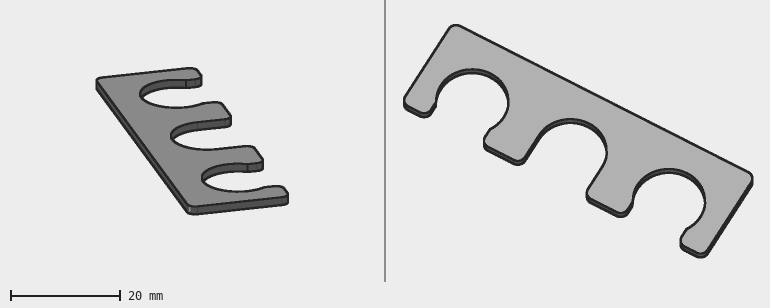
import cadquery as cq

length = 63.5
width = 19.05
thickness = 1.57
corner_radius = 1.5

seat_diameter = 13.2
seat_pitch = 20.64
seat_depth = 13.3
snap_mouth_width = 11.3
open_mouth_width = seat_diameter

back_edge_y = width / 2
seat_radius = seat_diameter / 2
seat_y = back_edge_y - seat_depth + seat_radius


def make_seat(x, mouth_width):
    """Cutter for one seat: a round hole joined to a mouth at the back edge."""
    mouth_length = back_edge_y - seat_y
    hole = cq.Workplane("XY").center(x, seat_y).circle(seat_radius).extrude(thickness)
    mouth = (
        cq.Workplane("XY")
        .center(x, seat_y + mouth_length / 2)
        .rect(mouth_width, mouth_length)
        .extrude(thickness)
    )
    return hole.union(mouth)


def make_plate():
    """Flat plate with its bottom face on Z = 0, centred in X and Y."""
    plate = cq.Workplane("XY").rect(length, width).extrude(thickness)
    seats = [
        (-seat_pitch, snap_mouth_width),
        (0, open_mouth_width),
        (seat_pitch, snap_mouth_width),
    ]
    for x, mouth_width in seats:
        plate = plate.cut(make_seat(x, mouth_width))
    return plate


def round_corners(plate):
    """Round the plate corners and both lips of every mouth."""
    plate = plate.faces(">Y").edges("|Z").fillet(corner_radius)
    return plate.faces("<Y").edges("|Z").fillet(corner_radius)


result = round_corners(make_plate())